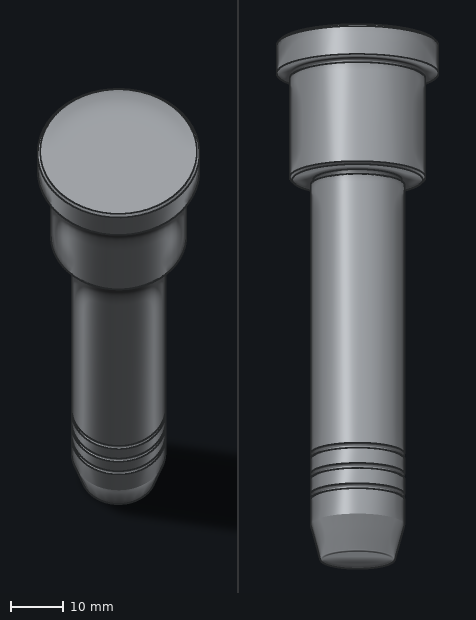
import cadquery as cq
import math

total_length = 102.0

head_diameter = 31.0
head_thickness = 6.0
head_chamfer = 0.5

shoulder_diameter = 26.0
shoulder_length = 21.0
shoulder_chamfer = 0.5

relief_groove_radius = 0.5

shank_diameter = 18.0
neck_diameter = 17.0
neck_length = 1.0

oil_groove_count = 3
oil_groove_radius = 0.5
oil_groove_pitch = 4.0
lowest_oil_groove_height = 12.5

taper_length = 7.0
taper_angle = 15.0
tip_fillet = 0.5

head_radius = head_diameter / 2
shoulder_radius = shoulder_diameter / 2
shank_radius = shank_diameter / 2
neck_radius = neck_diameter / 2
tip_radius = shank_radius - taper_length * math.tan(math.radians(taper_angle))

head_bottom = total_length - head_thickness
shoulder_bottom = head_bottom - shoulder_length
shank_top = shoulder_bottom - neck_length


def revolve_about_z(profile):
    """Solid of revolution about Z from a closed (radius, height) profile in the XZ plane."""
    return profile.revolve(360, (0, 0), (0, 1))


def make_body():
    """Head, shoulder, neck, shank and tapered lead-in, without the grooves."""
    profile_points = [
        (0, 0),
        (tip_radius, 0),
        (shank_radius, taper_length),
        (shank_radius, shank_top),
        (neck_radius, shank_top),
        (neck_radius, shoulder_bottom),
        (shoulder_radius - shoulder_chamfer, shoulder_bottom),
        (shoulder_radius, shoulder_bottom + shoulder_chamfer),
        (shoulder_radius, head_bottom),
        (head_radius, head_bottom),
        (head_radius, total_length - head_chamfer),
        (head_radius - head_chamfer, total_length),
        (0, total_length),
    ]
    body = revolve_about_z(cq.Workplane("XZ").polyline(profile_points).close())
    return body.faces("<Z").edges().fillet(tip_fillet)


def make_groove_cutter(surface_radius, height, groove_radius):
    """Ring that cuts a half-round groove into a cylinder, centred on the given height."""
    floor_radius = surface_radius - groove_radius
    profile = (
        cq.Workplane("XZ")
        .moveTo(surface_radius, height + groove_radius)
        .threePointArc((floor_radius, height), (surface_radius, height - groove_radius))
        .close()
    )
    return revolve_about_z(profile)


def cut_head_relief(body):
    relief_height = head_bottom - relief_groove_radius
    return body.cut(make_groove_cutter(shoulder_radius, relief_height, relief_groove_radius))


def cut_oil_grooves(body):
    for index in range(oil_groove_count):
        height = lowest_oil_groove_height + index * oil_groove_pitch
        body = body.cut(make_groove_cutter(shank_radius, height, oil_groove_radius))
    return body


result = cut_oil_grooves(cut_head_relief(make_body()))